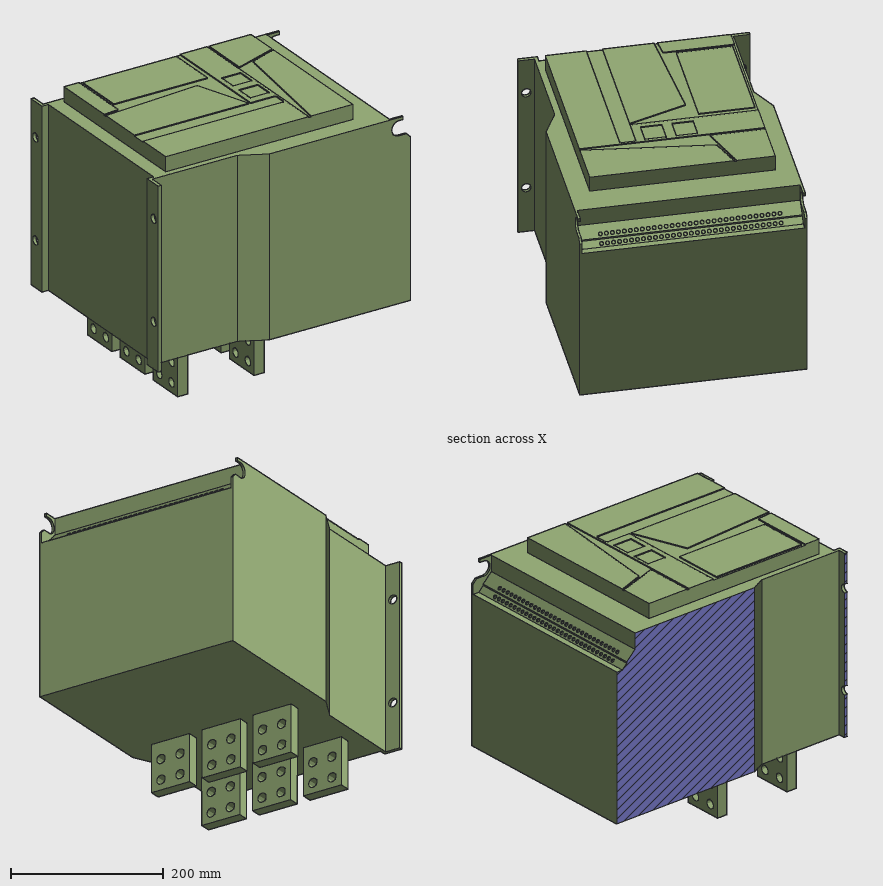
import cadquery as cq

depth = 394.0
front = -depth / 2
back = depth / 2
height = 271.0
rear_half_width = 152.0
front_half_width = 133.0
taper_front = front + 137.0
taper_back = front + 174.5

flange_thickness = 5.0
flange_half_span = 155.0
body_front = front + 10.0
flange_hole_diameter = 12.5
flange_hole_x = 144.0
flange_hole_heights = (69.0, 219.0)

side_plate = 3.2
recess_depth = 31.0
recess_wall = 24.0
vent_step = 2.0
vent_step_depth = 17.0
ledge_depth = 9.5
vent_columns = 31
vent_pitch = 8.0
vent_diameter = 5.0
vent_hole_depth = 2.0
vent_row_depths = (13.0, 21.0)

hook_tip_depth = 11.5
hook_thickness = 4.5
notch_radius = 11.0
notch_center_depth = 18.0
notch_chamfer = 6.0

panel_half_width = 124.0
panel_front = -165.5
panel_back = 125.0
panel_height = 22.0
relief = 1.5

bar_width = 60.0
bar_thickness = 16.0
bar_length = 70.0
bar_pitch = 80.0
bar_front_faces = (front + 59.0, front + 177.5)
bar_hole_diameter = 13.0
bar_hole_pitch = 30.0
bar_end_margin = 15.0


def box(x_range, y_range, z_range):
    """Block spanning the given (low, high) ranges."""
    size = [high - low for low, high in (x_range, y_range, z_range)]
    corner = (x_range[0], y_range[0], z_range[0])
    return cq.Workplane("XY").box(*size, centered=False).translate(corner)


def prism(points, bottom, thickness):
    """Upright prism over an outline in X and Y."""
    return cq.Workplane("XY").workplane(offset=bottom).polyline(points).close().extrude(thickness)


def enclosure():
    right_side = [
        (front_half_width, body_front),
        (front_half_width, taper_front),
        (rear_half_width, taper_back),
        (rear_half_width, back),
    ]
    left_side = [(-x, y) for x, y in reversed(right_side)]
    return prism(right_side + left_side, 0, height)


def flange(side):
    """L-shaped flange on one front corner; side is -1 or 1."""
    inner = front_half_width - flange_thickness
    outline = [
        (side * inner, front),
        (side * flange_half_span, front),
        (side * flange_half_span, front + flange_thickness),
        (side * front_half_width, front + flange_thickness),
        (side * front_half_width, body_front),
        (side * inner, body_front),
    ]
    plate = prism(outline, 0, height)
    for z in flange_hole_heights:
        hole = cq.Workplane("XZ", origin=(side * flange_hole_x, front, z))
        plate = plate.cut(hole.circle(flange_hole_diameter / 2).extrude(-flange_thickness))
    return plate


def slope_height(depth_from_back):
    """Height of the 45 degree vent faces at a distance from the rear."""
    drop = recess_wall + recess_depth - depth_from_back
    if depth_from_back < vent_step_depth:
        drop += vent_step
    return height - drop


def vent_recess():
    """Cutter between the side plates, with two 45 degree faces and a low rear ledge."""
    step_top = slope_height(vent_step_depth)
    ledge = slope_height(ledge_depth)
    half_width = rear_half_width - side_plate
    return (
        cq.Workplane("YZ", origin=(-half_width, 0, 0))
        .moveTo(back - recess_depth, height)
        .lineTo(back - recess_depth, slope_height(recess_depth))
        .lineTo(back - vent_step_depth, step_top)
        .lineTo(back - vent_step_depth, step_top - vent_step)
        .lineTo(back - ledge_depth, ledge)
        .lineTo(back, ledge)
        .lineTo(back, height)
        .close()
        .extrude(2 * half_width)
    )


def vent_holes():
    """Two rows of shallow round vents in the 45 degree faces."""
    holes = cq.Workplane("XY")
    for depth_from_back in vent_row_depths:
        for column in range(vent_columns):
            x = (column - (vent_columns - 1) / 2) * vent_pitch
            start = cq.Vector(x, back - depth_from_back, slope_height(depth_from_back))
            inward = cq.Vector(0, -1, -1)
            holes.add(cq.Solid.makeCylinder(vent_diameter / 2, vent_hole_depth, start, inward))
    return holes.combine()


def hook_notch():
    """Cutter across the full width leaving a hook at the top of each side plate."""
    upper = height - hook_thickness
    lower = upper - 2 * notch_radius
    center = back - notch_center_depth
    return (
        cq.Workplane("YZ", origin=(-rear_half_width, 0, 0))
        .moveTo(back, height)
        .lineTo(back - hook_tip_depth, height)
        .lineTo(back - hook_tip_depth, upper)
        .lineTo(center, upper)
        .threePointArc((center - notch_radius, upper - notch_radius), (center, lower))
        .lineTo(back - notch_chamfer, lower)
        .lineTo(back, lower - notch_chamfer)
        .close()
        .extrude(2 * rear_half_width)
    )


def control_panel():
    """Raised panel carrying a relief of thin plates."""
    channel_left = 47.5
    channel_right = 69.0
    channel_back = 54.0
    channel_corner = 2.0
    main_back = 57.0
    main_front = 15.0
    relief_bottom = height + panel_height - relief
    upper_left_front = 60.0
    lower_left_back = -142.0
    display_left = -121.0
    display_right = -45.5
    display_back = 7.5
    display_front = -138.0
    panel = box((-panel_half_width, panel_half_width), (panel_front, panel_back), (height, relief_bottom))

    upper_left_plate = [
        (-panel_half_width, panel_back),
        (-72.5, panel_back),
        (-50.0, upper_left_front),
        (-panel_half_width, upper_left_front),
    ]
    upper_right_plate = [
        (-69.5, panel_back),
        (panel_half_width, panel_back),
        (panel_half_width, 60.5),
        (-54.5, 84.0),
    ]
    main_plate = [
        (-panel_half_width, main_back),
        (panel_half_width, main_back),
        (panel_half_width, panel_front),
        (channel_right, panel_front),
        (channel_right, channel_back - channel_corner),
        (channel_right - channel_corner, channel_back),
        (channel_left + channel_corner, channel_back),
        (channel_left, channel_back - channel_corner),
        (channel_left, main_front),
        (-panel_half_width, main_front),
    ]
    center_plate = [
        (channel_left, 12.0),
        (channel_left, panel_front),
        (-21.5, panel_front),
        (-33.0, -16.5),
    ]
    lower_left_plate = [
        (-panel_half_width, lower_left_back),
        (-28.5, lower_left_back),
        (-26.0, panel_front),
        (-panel_half_width, panel_front),
    ]
    display_plate = [
        (display_left, display_back),
        (display_right, display_back),
        (display_right, display_front),
        (display_left, display_front),
    ]

    for outline in (
        upper_left_plate,
        upper_right_plate,
        main_plate,
        center_plate,
        lower_left_plate,
        display_plate,
    ):
        panel = panel.union(prism(outline, relief_bottom, relief))

    window_width = 28.5
    window_length = 29.5
    window_center_y = 37.5
    window_offset = 21.0
    for window_x in (-window_offset, window_offset):
        window = cq.Workplane("XY", origin=(window_x, window_center_y, relief_bottom))
        panel = panel.cut(window.rect(window_width, window_length).extrude(relief))
    return panel


def connection_bar(x, front_face):
    """Hanging bar with a square pattern of four through holes."""
    hole_center_z = -bar_length + bar_end_margin + bar_hole_pitch / 2
    bar = box(
        (x - bar_width / 2, x + bar_width / 2),
        (front_face, front_face + bar_thickness),
        (-bar_length, 0),
    )
    holes = (
        cq.Workplane("XZ", origin=(x, front_face, hole_center_z))
        .rarray(bar_hole_pitch, bar_hole_pitch, 2, 2)
        .circle(bar_hole_diameter / 2)
        .extrude(-bar_thickness)
    )
    return bar.cut(holes)


result = enclosure().cut(vent_recess()).cut(hook_notch()).cut(vent_holes())
for side in (-1, 1):
    result = result.union(flange(side))
result = result.union(control_panel())
for bar_x in (-bar_pitch, 0, bar_pitch):
    for bar_front in bar_front_faces:
        result = result.union(connection_bar(bar_x, bar_front))